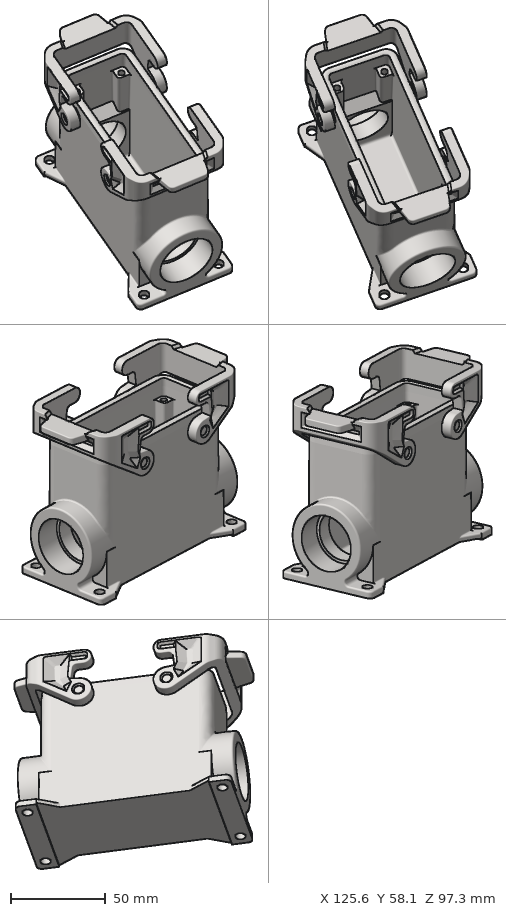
import cadquery as cq
import math

margin = 0.1

body_bottom = 1.0
body_half_x = 47.2
body_width = 44.3
body_half_y = body_width / 2
body_corner_radius = 7.2
body_draft = 0.3
collar_bottom = 75.8
body_top = 81.1
collar_draft = 5
rim_crown = 0.6
base_half_x = 46.7

cavity_half_x = 42.8
cavity_half_y = 17.2
cavity_corner_radius = 2.5
cavity_floor = 6.3
cavity_draft = 1
floor_fillet = 1.6
end_wall_half_x = 35.3
shelf_bottom = 41.4
shelf_angle = 30
shelf_top = shelf_bottom + (cavity_half_x - end_wall_half_x) * math.tan(math.radians(shelf_angle))

post_inner_x = 36.0
post_inner_y = 10
post_top = 69.9
post_fillet = 1.9
post_root_fillet = 1.0
post_hole_x = 38.9
post_hole_y = 13.4
post_hole_radius = 1.8
post_hole_depth = 15

hub_end_x = 58.4
hub_radius = 22.0
hub_axis_z = 25.5
hub_edge_fillet = 1.0
hub_inner_end_x = body_half_x - body_corner_radius
counterbore_radius = 15.7
counterbore_end_x = 43.9
bore_radius = 13.9
neck_radius = 2.0
hub_root_fillet = 0.9

foot_half_y = 28.7
foot_height = 4.0
foot_corner_radius = 2.9
foot_edge_fillet = 1.0
foot_root_fillet = 0.8
foot_tip_x = 35.1
foot_hole_x = 52.7
foot_hole_y = 22.3
foot_hole_radius = 2.8

lever_top = 97.3
lever_half_x = 53.7
lever_width = 58.1
lever_half_y = lever_width / 2
lever_corner_x = 8.0
lever_corner_y = 4.4
lever_end_radius = 7.8
lever_arm_radius = 6.3
lever_inner_half_x = 48.7
lever_inner_half_y = 23.2
lever_inner_radius = 3.3
lever_end_bottom = 83.6
lever_face_fillet = 0.5
pivot_x = 23.8
pivot_z = 71.9
pivot_boss_radius = 7.2
hook_radius = 4.4
hook_x = 21.1
hook_z = lever_top - hook_radius
hook_bottom = hook_z - hook_radius
throat_top_x = 26.9
throat_bottom_x = 28.0
throat_bottom = 79.6
throat_fillet = 2.5

pin_body_radius = 4.5
pin_lever_radius = 2.9
pin_recess_radius = 3.4
pin_recess_floor_radius = 2.5
pin_recess_depth = 1.0
pin_embed = 0.8
pocket_depth = 3.1
pocket_rim = [(42.7, 95.5), (28.4, 95.5), (29.6, 81.3), (27.7, 76.9), (30.2, 71.3), (42.7, 79.5)]
pocket_floor = [(37.4, 91.0), (34.0, 91.0), (34.5, 82.0), (32.3, 77.2), (32.0, 76.2), (37.1, 81.3)]
pocket_corner_fillet = 2.5
pocket_floor_fillet = 0.5
slot_depth = 1.5
slot_taper = 40
slot_end_radius = 1.8
slot_start_x = 28.9
slot_end_x = 19.0
slot_bottom = 91.0
slot_top = 95.5

tab_end_x = 62.8
tab_end_half_y = 11.3
tab_root_half_y = 14.8
tab_top = 95.6
tab_root_bottom = 90.9
tab_end_bottom = 91.4
tab_corner_radius = 3.1
tab_edge_fillet = 0.6
notch_top_half_y = 15.3
notch_bottom_half_y = 13.8
notch_widening = 1.3
end_pocket_half_y = 19.1
end_pocket_bottom = 85.6
end_pocket_top = 94.4
end_pocket_floor_half_y = 16.1
end_pocket_floor_bottom = 88.4
end_pocket_floor_top = 90.1
end_pocket_depth = 2.5
end_pocket_fillet = 0.5


def block(x0, x1, y0, y1, z0, z1):
    """Axis-aligned box between two opposite corners."""
    return cq.Workplane("XY").box(x1 - x0, y1 - y0, z1 - z0, centered=False).translate((x0, y0, z0))


def x_cylinder(radius, x0, x1):
    """Cylinder on the hub axis."""
    return cq.Workplane("YZ", origin=(x0, 0, 0)).center(0, hub_axis_z).circle(radius).extrude(x1 - x0)


def both_ends(shape):
    """The shape together with its mirror image at the opposite X end."""
    return shape.union(shape.mirror("YZ"))


def both_sides(shape):
    """The shape together with its mirror image at the opposite Y side."""
    return shape.union(shape.mirror("XZ"))


def edges_between(shape, low, high):
    """Edges whose centres lie in the box between two corners."""
    return shape.edges(cq.selectors.BoxSelector(low, high))


def drafted_block(corner_radius):
    """Housing block that narrows from its bottom up to the rim collar."""
    outline = cq.Sketch().rect(2 * body_half_x, 2 * body_half_y)
    if corner_radius:
        outline = outline.vertices().fillet(corner_radius)
    return (
        cq.Workplane("XY", origin=(0, 0, body_bottom)).placeSketch(outline)
        .extrude(collar_bottom - body_bottom, taper=body_draft)
    )


def body_shell():
    """Drafted block, square-cornered up to the hub axis and rounded above, with a narrower rim."""
    rounded = drafted_block(body_corner_radius)
    rim = rounded.faces(">Z").wires().toPending()
    rim = rim.extrude(body_top - collar_bottom, taper=collar_draft, combine=False)
    base_limits = block(-base_half_x, base_half_x, -body_half_y, body_half_y, body_bottom, hub_axis_z)
    upper_limits = block(-body_half_x, body_half_x, -body_half_y, body_half_y, hub_axis_z, body_top)
    base = drafted_block(0).intersect(base_limits)
    return base.union(rounded.intersect(upper_limits)).union(rim)


def rim_trim():
    """Material taken off around the rim to leave its top crowned."""
    inset = (body_top - collar_bottom) * math.tan(math.radians(collar_draft))
    inset += (collar_bottom - body_bottom) * math.tan(math.radians(body_draft))
    middle_x = (body_half_x - inset + cavity_half_x) / 2
    middle_y = (body_half_y - inset + cavity_half_y) / 2
    middle_radius = (body_corner_radius + cavity_corner_radius) / 2
    reach = (body_half_y - inset - cavity_half_y) / 2 + margin
    path = cq.Workplane("XY", origin=(0, 0, body_top)).rect(2 * middle_x, 2 * middle_y).extrude(1.3)
    path = path.edges("|Z").fillet(middle_radius).faces("<Z").wires()
    crown = (
        cq.Workplane("YZ", origin=(0, middle_y, body_top))
        .moveTo(-reach, -rim_crown)
        .threePointArc((0, 0), (reach, -rim_crown))
        .lineTo(reach, rim_crown)
        .lineTo(-reach, rim_crown)
        .close()
    )
    return crown.sweep(path)


def cavity():
    """Open-topped cavity, stepped in by sloped shelves at both ends, around four screw posts."""
    mouth = cq.Sketch().rect(2 * cavity_half_x, 2 * cavity_half_y).vertices().fillet(cavity_corner_radius)
    collar = cq.Workplane("XY", origin=(0, 0, collar_bottom)).placeSketch(mouth)
    drafted = collar.extrude(cavity_floor - collar_bottom, taper=cavity_draft)
    space = drafted.union(collar.extrude(body_top - collar_bottom))
    section = (
        cq.Workplane("XZ")
        .moveTo(-end_wall_half_x + floor_fillet / 2, cavity_floor)
        .lineTo(end_wall_half_x - floor_fillet / 2, cavity_floor)
        .lineTo(end_wall_half_x, shelf_bottom)
        .lineTo(cavity_half_x, shelf_top)
        .lineTo(cavity_half_x, body_top)
        .lineTo(-cavity_half_x, body_top)
        .lineTo(-cavity_half_x, shelf_top)
        .lineTo(-end_wall_half_x, shelf_bottom)
        .close().extrude(cavity_half_y, both=True)
    )
    space = space.intersect(section).faces("<Z").edges().fillet(floor_fillet)
    post = block(-cavity_half_x, -post_inner_x, -cavity_half_y, -post_inner_y, shelf_bottom, post_top)
    post = post.edges("|Z and >X and >Y").fillet(post_fillet)
    hole = (
        cq.Workplane("XY", origin=(-post_hole_x, -post_hole_y, post_top))
        .circle(post_hole_radius).extrude(-post_hole_depth)
    )
    space = space.cut(both_sides(both_ends(post.cut(hole))))
    reach = post_root_fillet
    low_z = shelf_top
    high_z = post_top - reach
    for x, y in [(post_inner_x, cavity_half_y), (cavity_half_x, post_inner_y)]:
        for x_side in (-x, x):
            for y_side in (-y, y):
                low = (x_side - reach, y_side - reach, low_z)
                high = (x_side + reach, y_side + reach, high_z)
                space = edges_between(space, low, high).fillet(post_root_fillet)
    return space


def hub():
    """Cable entry tube at the -X end, with the neck that joins it to the feet."""
    tube_length = hub_end_x - hub_inner_end_x
    arc_z = foot_height + neck_radius
    arc_drop = hub_axis_z - arc_z
    arc_distance = hub_radius + neck_radius
    arc_y = math.sqrt(arc_distance**2 - arc_drop**2)
    touch_y = arc_y * hub_radius / arc_distance
    touch_z = hub_axis_z - arc_drop * hub_radius / arc_distance
    profile = (
        cq.Workplane("YZ", origin=(-hub_end_x, 0, 0))
        .moveTo(-arc_y, 0)
        .lineTo(-arc_y, foot_height)
        .threePointArc((-arc_y + neck_radius, arc_z), (-touch_y, touch_z))
        .threePointArc((0, hub_axis_z + hub_radius), (touch_y, touch_z))
        .threePointArc((arc_y - neck_radius, arc_z), (arc_y, foot_height))
        .lineTo(arc_y, 0)
        .close().extrude(tube_length)
    )
    under_body = block(-base_half_x, 0, -body_half_y, body_half_y, 0, body_bottom)
    return profile.cut(under_body).faces("<X").edges("%CIRCLE").fillet(hub_edge_fillet)


def foot():
    """Mounting plate under the hub, with a slanted web running back to each long side."""
    plate = block(-hub_end_x, -base_half_x, -foot_half_y, foot_half_y, 0, foot_height)
    web = (
        cq.Workplane("XY", origin=(0, 0, body_bottom))
        .polyline([(-base_half_x, -foot_half_y), (-foot_tip_x, -body_half_y), (-foot_tip_x, body_half_y),
                   (-base_half_x, foot_half_y)])
        .close().extrude(foot_height - body_bottom)
    )
    plate = plate.edges("|Z and <X").fillet(foot_corner_radius).union(web)
    plate = plate.faces(">Z").edges("not >X").edges("not <X").fillet(foot_edge_fillet)
    holes = (
        cq.Workplane("XY").pushPoints([(-foot_hole_x, -foot_hole_y), (-foot_hole_x, foot_hole_y)])
        .circle(foot_hole_radius).extrude(foot_height)
    )
    return plate.cut(holes)


def bores():
    """Stepped opening through each hub into the cavity."""
    counterbore = x_cylinder(counterbore_radius, -hub_end_x, -counterbore_end_x)
    bore = x_cylinder(bore_radius, -counterbore_end_x, -end_wall_half_x + floor_fillet)
    return both_ends(counterbore.union(bore))


def lever_side_outline():
    """Side profile of the -X lever: end wall, hook, throat and pivot eye."""
    run = lever_half_x - pivot_x
    drop = lever_end_bottom - pivot_z
    slope = math.asin(pivot_boss_radius / math.hypot(run, drop)) + math.atan2(drop, run)
    tangent_x = -pivot_x - pivot_boss_radius * math.sin(slope)
    tangent_z = pivot_z - pivot_boss_radius * math.cos(slope)
    outline = (
        cq.Workplane("XZ")
        .moveTo(-lever_half_x, lever_top)
        .lineTo(-hook_x, lever_top)
        .threePointArc((-hook_x + hook_radius, hook_z), (-hook_x, hook_bottom))
        .lineTo(-throat_top_x, hook_bottom)
        .lineTo(-throat_bottom_x, throat_bottom)
        .lineTo(-pivot_x, pivot_z + pivot_boss_radius)
        .threePointArc((-pivot_x + pivot_boss_radius, pivot_z), (tangent_x, tangent_z))
        .lineTo(-lever_half_x, lever_end_bottom)
        .close().extrude(lever_half_y, both=True)
    )
    throat_corner = cq.selectors.NearestToPointSelector((-throat_top_x, 0, hook_bottom))
    return outline.edges("|Y").edges(throat_corner).fillet(throat_fillet)


def lever_frame():
    """U-shaped lever at the -X end, cut to its side profile."""
    outer = block(-lever_half_x, 0, -lever_half_y, lever_half_y, 0, lever_top)
    corner = [(-lever_half_x, -lever_half_y), (-lever_half_x + lever_corner_x, -lever_half_y),
              (-lever_half_x, -lever_half_y + lever_corner_y)]
    outer = outer.cut(both_sides(cq.Workplane("XY").polyline(corner).close().extrude(lever_top)))
    outer = outer.edges("|Z and <X").fillet(lever_end_radius)
    for y in (-lever_half_y, lever_half_y):
        arm_start = cq.selectors.NearestToPointSelector((-lever_half_x + lever_corner_x, y, lever_top / 2))
        outer = outer.edges("|Z").edges(arm_start).fillet(lever_arm_radius)
    inner = block(-lever_inner_half_x, 0, -lever_inner_half_y, lever_inner_half_y, 0, lever_top)
    inner = inner.edges("|Z and <X").fillet(lever_inner_radius)
    frame = outer.cut(inner).intersect(lever_side_outline())
    return frame.faces("<Y or >Y").edges("not |Z").fillet(lever_face_fillet)


def tapered_pocket(plane, origin, rim, floor, depth):
    """Pocket with straight sloping walls from its rim polygon to its floor polygon."""
    return (
        cq.Workplane(plane, origin=origin).polyline(rim).close()
        .workplane(offset=-depth).polyline(floor).close().loft(ruled=True)
    )


def rectangle(half_y, z0, z1):
    """Corner points of a rectangle centred on Y."""
    return [(-half_y, z0), (half_y, z0), (half_y, z1), (-half_y, z1)]


def arm_recesses():
    """Relief pocket, hook slot and pin recess in the -Y arm of the -X lever."""
    face = (0, -lever_half_y, 0)
    rim = [(-x, z) for x, z in pocket_rim]
    floor = [(-x, z) for x, z in pocket_floor]
    pocket = tapered_pocket("XZ", face, rim, floor, pocket_depth)
    rim_left_x = -pocket_rim[0][0]
    floor_left_x = -pocket_floor[0][0]
    low = (rim_left_x, -lever_half_y, 0)
    high = ((rim_left_x + floor_left_x) / 2 + margin, -lever_inner_half_y, lever_top)
    corners = edges_between(pocket.edges("not #Y"), low, high)
    pocket = corners.fillet(pocket_corner_fillet)
    pocket = pocket.faces(">Y").edges().fillet(pocket_floor_fillet)
    slot_rim = cq.Sketch().rect(slot_start_x - slot_end_x, slot_top - slot_bottom)
    slot_rim = slot_rim.vertices(">X").fillet(slot_end_radius)
    slot_centre = (-(slot_start_x + slot_end_x) / 2, -lever_half_y, (slot_bottom + slot_top) / 2)
    slot = cq.Workplane("XZ", origin=slot_centre).placeSketch(slot_rim).extrude(-slot_depth, taper=slot_taper)
    recess = (
        cq.Workplane("XZ", origin=face).center(-pivot_x, pivot_z).circle(pin_recess_radius)
        .workplane(offset=-pin_recess_depth).circle(pin_recess_floor_radius).loft()
    )
    return both_sides(pocket.union(slot).union(recess))


def pivot_pin():
    """Conical boss between the housing and the -Y arm of the -X lever."""
    seat_y = body_half_y - pin_embed
    return (
        cq.Workplane("XZ", origin=(0, -seat_y, 0)).center(-pivot_x, pivot_z).circle(pin_body_radius)
        .workplane(offset=lever_inner_half_y - seat_y).circle(pin_lever_radius).loft()
    )


def tab():
    """Finger tab that tapers outwards from the lever's end wall."""
    plan = (
        cq.Workplane("XY")
        .polyline([(-lever_inner_half_x, -tab_root_half_y), (-tab_end_x, -tab_end_half_y),
                   (-tab_end_x, tab_end_half_y), (-lever_inner_half_x, tab_root_half_y)])
        .close().extrude(lever_top).edges("|Z and <X").fillet(tab_corner_radius)
    )
    side = (
        cq.Workplane("XZ")
        .polyline([(-lever_inner_half_x, tab_root_bottom), (-tab_end_x, tab_end_bottom),
                   (-tab_end_x, tab_top), (-lever_inner_half_x, tab_top)])
        .close().extrude(tab_root_half_y, both=True)
    )
    blade = plan.intersect(side)
    blade = blade.faces(">Z").edges("not >X").fillet(tab_edge_fillet)
    return blade.faces("<X").edges("<Z").fillet(tab_edge_fillet)


def notch_section(widening):
    """Trapezoid that lowers the top of the end wall, widened on each side."""
    bottom = notch_bottom_half_y + widening
    top = notch_top_half_y + widening
    return [(-bottom, tab_top), (bottom, tab_top), (top, lever_top), (-top, lever_top)]


def lever():
    """Complete -X lever with its pins."""
    wall = lever_half_x - lever_inner_half_x
    notch = tapered_pocket(
        "YZ", (-lever_half_x, 0, 0),
        notch_section(0), notch_section(notch_widening), -wall,
    )
    end_pocket = tapered_pocket(
        "YZ", (-lever_half_x, 0, 0),
        rectangle(end_pocket_half_y, end_pocket_bottom, end_pocket_top),
        rectangle(end_pocket_floor_half_y, end_pocket_floor_bottom, end_pocket_floor_top),
        -end_pocket_depth,
    )
    end_pocket = end_pocket.edges("not #X").fillet(end_pocket_fillet)
    frame = lever_frame().cut(arm_recesses()).cut(notch).cut(end_pocket)
    return frame.union(tab()).union(both_sides(pivot_pin()))


def rounded_shell():
    """Housing, hubs and feet with their root fillets, hollowed out and crowned along the rim."""
    shell = body_shell().union(both_ends(hub().union(foot())))
    hub_top = hub_axis_z + hub_radius + hub_root_fillet
    for x0, x1 in [(-body_half_x, -hub_inner_end_x - margin), (hub_inner_end_x + margin, body_half_x)]:
        low = (x0, -hub_radius, hub_axis_z + margin)
        high = (x1, hub_radius, hub_top)
        shell = edges_between(shell, low, high).fillet(hub_root_fillet)
    for y in (-body_half_y, body_half_y):
        low = (-base_half_x + margin, y - margin, foot_height - margin)
        high = (base_half_x - margin, y + margin, foot_height + margin)
        shell = edges_between(shell, low, high).fillet(foot_root_fillet)
    return shell.cut(cavity()).cut(bores()).cut(rim_trim())


result = rounded_shell().union(both_ends(lever()))